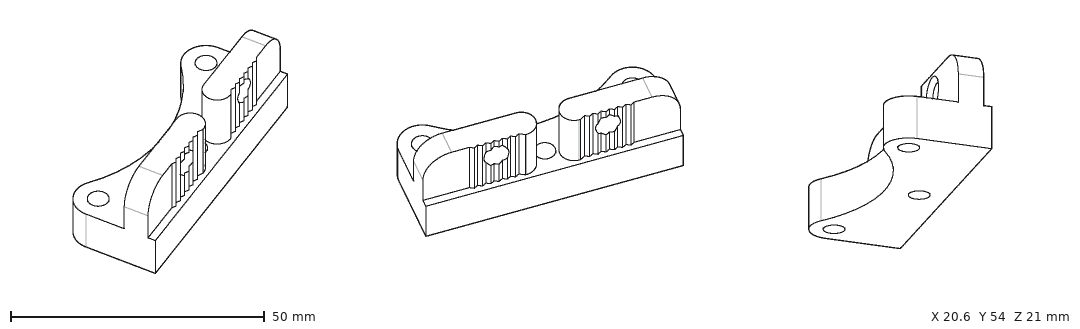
import cadquery as cq
import math

base_length = 54.04
base_depth = 20.6
base_height = 9.0
corner_radius = 5.0
scallop_radius = 30.0

base_hole_diameter = 4.3
middle_hole_x = 15.0

ledge_depth = 1.0
wall_thickness = 6.0
total_height = 21.0
wall_gap = 5.04
wall_corner_radius = 6.0

wall_hole_diameter = 5.2
wall_hole_y = 11.7
wall_hole_z = 16.7
countersink_diameter = 7.2
countersink_depth = 1.0

root_depth = 0.65
tooth_height = 0.5
tooth_count = 6
flank_angle = 30.0
first_root_y = 6.9

half_length = base_length / 2
corner_y = half_length - corner_radius
wall_back_x = base_depth - ledge_depth
wall_front_x = wall_back_x - wall_thickness
wall_end_y = wall_gap / 2
wall_height = total_height - base_height
root_x = wall_back_x - root_depth
tip_x = root_x + tooth_height
half_pitch = tooth_height / math.tan(math.radians(flank_angle))
tooth_run_in = root_depth / math.tan(math.radians(flank_angle))


def make_base():
    """Plate with two rounded front corners joined by a tangent concave scallop."""
    center_distance = scallop_radius + corner_radius
    scallop_x = corner_radius - math.sqrt(center_distance**2 - corner_y**2)
    blend = corner_radius / center_distance
    tangent_x = corner_radius + blend * (scallop_x - corner_radius)
    tangent_y = corner_y * (1 - blend)
    return (
        cq.Workplane("XY")
        .moveTo(base_depth, -half_length)
        .lineTo(base_depth, half_length)
        .lineTo(corner_radius, half_length)
        .threePointArc((0, corner_y), (tangent_x, tangent_y))
        .threePointArc((scallop_x + scallop_radius, 0), (tangent_x, -tangent_y))
        .threePointArc((0, -corner_y), (corner_radius, -half_length))
        .close()
        .extrude(base_height)
    )


def make_wall():
    """Wall on the +Y side: round inner end, toothed back, rounded outer top corner."""
    end_radius = wall_thickness / 2
    round_y = wall_end_y + end_radius
    outline = (
        cq.Workplane("XY", origin=(0, 0, base_height))
        .moveTo(wall_front_x, half_length)
        .lineTo(wall_front_x, round_y)
        .threePointArc((wall_front_x + end_radius, wall_end_y), (wall_back_x, round_y))
        .lineTo(wall_back_x, first_root_y - tooth_run_in)
        .lineTo(root_x, first_root_y)
    )
    for tooth in range(tooth_count):
        tip_y = first_root_y + (2 * tooth + 1) * half_pitch
        outline = outline.lineTo(tip_x, tip_y).lineTo(root_x, tip_y + half_pitch)
    wall = outline.lineTo(root_x, half_length).close().extrude(wall_height)
    wall = wall.faces(">Y").edges(">Z").fillet(wall_corner_radius)
    return wall.cut(make_wall_hole())


def make_wall_hole():
    """Screw hole along X, countersunk from the front of the wall."""
    front = cq.Workplane("YZ", origin=(wall_front_x, wall_hole_y, wall_hole_z))
    hole = front.circle(wall_hole_diameter / 2).extrude(wall_thickness)
    countersink = (
        front.circle(countersink_diameter / 2)
        .workplane(offset=countersink_depth)
        .circle(wall_hole_diameter / 2)
        .loft(ruled=True)
    )
    return hole.union(countersink)


def make_base_holes():
    hole_centers = [(corner_radius, corner_y), (corner_radius, -corner_y), (middle_hole_x, 0)]
    return (
        cq.Workplane("XY")
        .pushPoints(hole_centers)
        .circle(base_hole_diameter / 2)
        .extrude(base_height)
    )


wall = make_wall()
result = (
    make_base()
    .cut(make_base_holes())
    .union(wall)
    .union(wall.mirror("XZ"))
)